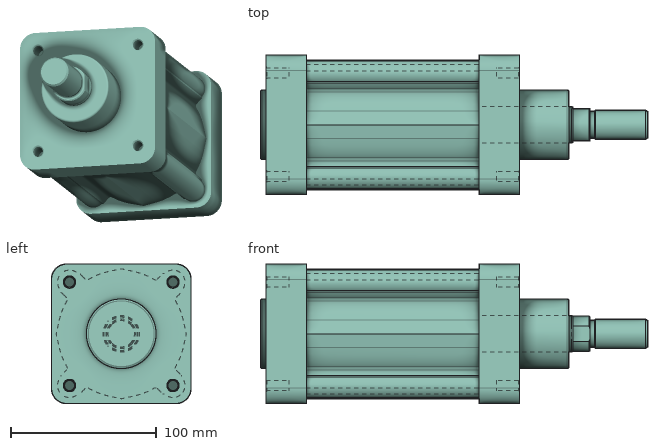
import math

import cadquery as cq


total_length = 266.0
boss_length = 3.7
cover_length = 28.0
barrel_length = 118.5
neck_length = 33.8

rear_cover_x = boss_length
barrel_x = rear_cover_x + cover_length
front_cover_x = barrel_x + barrel_length
neck_x = front_cover_x + cover_length
neck_end_x = neck_x + neck_length

cover_width = 96.0
cover_corner_radius = 10.6
boss_diameter = 48.0
boss_edge_radius = 1.3
screw_spacing = 71.0
screw_hole_diameter = 7.0
screw_hole_depth = 16.0
countersink_diameter = 8.5

core_radius = 43.5
ridge_flat_half_width = 9.3
tube_radius = 8.2
web_width = 18.0
web_reach = 41.5
web_fillet = 1.9

collar_diameter = 25.0
collar_visible_length = 2.7
collar_chamfer_length = 0.8
shank_diameter = 24.5
shank_length = 12.0
shank_chamfer = 0.8
flats_width = 22.0
undercut_diameter = 18.5
undercut_length = 3.0
thread_diameter = 20.2
thread_lead_in = 0.8
tip_chamfer_length = 1.5
tip_chamfer_depth = 1.0

flats_x = neck_end_x + collar_visible_length
shoulder_x = flats_x + shank_length
thread_x = shoulder_x + undercut_length


def yz_plane(x):
    """Workplane across the axis at x: local x is Y, local y is Z, and it extrudes toward +X."""
    return cq.Workplane("YZ", origin=(x, 0, 0))


def make_cover_block(x):
    """Square end plate with rounded corners."""
    block = yz_plane(x).rect(cover_width, cover_width).extrude(cover_length)
    return block.edges("|X").fillet(cover_corner_radius)


def cut_screw_holes(cover, face_x, inward):
    """Cut four countersunk blind holes from the outer face; inward is +1 or -1 along X."""
    direction = cq.Vector(inward, 0, 0)
    hole_radius = screw_hole_diameter / 2
    sink_radius = countersink_diameter / 2
    sink_depth = sink_radius - hole_radius
    for y in (-screw_spacing / 2, screw_spacing / 2):
        for z in (-screw_spacing / 2, screw_spacing / 2):
            centre = cq.Vector(face_x, y, z)
            hole = cq.Solid.makeCylinder(hole_radius, screw_hole_depth, centre, direction)
            sink = cq.Solid.makeCone(sink_radius, hole_radius, sink_depth, centre, direction)
            cover = cover.cut(cq.Workplane(hole)).cut(cq.Workplane(sink))
    return cover


def make_rear_cover():
    boss = yz_plane(0).circle(boss_diameter / 2).extrude(boss_length)
    boss = boss.faces("<X").edges().fillet(boss_edge_radius)
    cover = make_cover_block(rear_cover_x).union(boss)
    return cut_screw_holes(cover, rear_cover_x, 1)


def make_front_cover():
    neck = yz_plane(neck_x).circle(boss_diameter / 2).extrude(neck_length)
    neck = neck.faces(">X").edges().fillet(boss_edge_radius)
    cover = make_cover_block(front_cover_x).union(neck)
    cover = cut_screw_holes(cover, neck_x, -1)
    rod_bore = yz_plane(front_cover_x).circle(collar_diameter / 2).extrude(cover_length + neck_length)
    return cover.cut(rod_bore)


def make_core():
    """Round core whose four sides rise to a shallow ridge between two tangent flats."""
    flat_end = math.sqrt(core_radius**2 - ridge_flat_half_width**2)
    ridge_height = core_radius**2 / flat_end
    diagonal = core_radius * math.sqrt(0.5)
    outline = yz_plane(barrel_x).moveTo(ridge_height, 0)
    for c, s in ((1, 0), (0, 1), (-1, 0), (0, -1)):
        arc_start = (c * flat_end - s * ridge_flat_half_width, s * flat_end + c * ridge_flat_half_width)
        arc_middle = ((c - s) * diagonal, (c + s) * diagonal)
        arc_end = (c * ridge_flat_half_width - s * flat_end, s * ridge_flat_half_width + c * flat_end)
        next_ridge = (-s * ridge_height, c * ridge_height)
        outline = outline.lineTo(*arc_start).threePointArc(arc_middle, arc_end).lineTo(*next_ridge)
    return outline.close().extrude(barrel_length)


def make_web():
    """Web along one diagonal, from the core to the corner tube, with its end trimmed square."""
    side_offset = web_width * math.sqrt(0.5)
    tube_centre = screw_spacing / 2
    inner = side_offset / 2
    outer = web_reach - side_offset
    points = [
        (inner, -inner),
        (web_reach, outer),
        (web_reach, tube_centre),
        (tube_centre, web_reach),
        (outer, web_reach),
        (-inner, inner),
    ]
    return yz_plane(barrel_x).polyline(points).close().extrude(barrel_length)


def fillet_web_roots(barrel):
    """Round the eight inner corners where the sides of the webs meet the core."""
    middle_x = barrel_x + barrel_length / 2
    half_width = web_width / 2
    along = math.sqrt(core_radius**2 - half_width**2)
    far = (along + half_width) * math.sqrt(0.5)
    near = (along - half_width) * math.sqrt(0.5)
    root_edges = []
    for y, z in ((far, near), (near, far)):
        for y_side in (-1, 1):
            for z_side in (-1, 1):
                root = (middle_x, y_side * y, z_side * z)
                nearest = cq.selectors.NearestToPointSelector(root)
                root_edges.append(barrel.edges("|X").edges(nearest).val())
    return barrel.newObject(root_edges).fillet(web_fillet)


def make_barrel():
    barrel = make_core()
    web = make_web()
    for quarter in range(4):
        barrel = barrel.union(web.rotate((0, 0, 0), (1, 0, 0), 90 * quarter))
    barrel = fillet_web_roots(barrel)
    tubes = (
        yz_plane(barrel_x)
        .rect(screw_spacing, screw_spacing, forConstruction=True)
        .vertices()
        .circle(tube_radius)
        .extrude(barrel_length)
    )
    return barrel.union(tubes)


def make_piston_rod():
    """Turned rod that starts at the barrel, with two wrench flats behind the threaded end."""
    collar_radius = collar_diameter / 2
    shank_radius = shank_diameter / 2
    undercut_radius = undercut_diameter / 2
    thread_radius = thread_diameter / 2
    profile = [
        (front_cover_x, 0),
        (front_cover_x, collar_radius),
        (flats_x - collar_chamfer_length, collar_radius),
        (flats_x, shank_radius),
        (shoulder_x - shank_chamfer, shank_radius),
        (shoulder_x, shank_radius - shank_chamfer),
        (shoulder_x, undercut_radius),
        (thread_x, undercut_radius),
        (thread_x + thread_lead_in, thread_radius),
        (total_length - tip_chamfer_length, thread_radius),
        (total_length, thread_radius - tip_chamfer_depth),
        (total_length, 0),
    ]
    rod = cq.Workplane("XY").polyline(profile).close().revolve(360, (0, 0, 0), (1, 0, 0))
    for side in (-1, 1):
        flat_centre = side * (flats_width + collar_diameter) / 2
        beyond_flat = (
            yz_plane(flats_x)
            .center(flat_centre, 0)
            .rect(collar_diameter, collar_diameter)
            .extrude(shank_length)
        )
        rod = rod.cut(beyond_flat)
    return rod


rear_cover = make_rear_cover()
barrel = make_barrel()
front_cover = make_front_cover()
piston_rod = make_piston_rod()

result = cq.Compound.makeCompound(
    [rear_cover.val(), barrel.val(), front_cover.val(), piston_rod.val()]
)